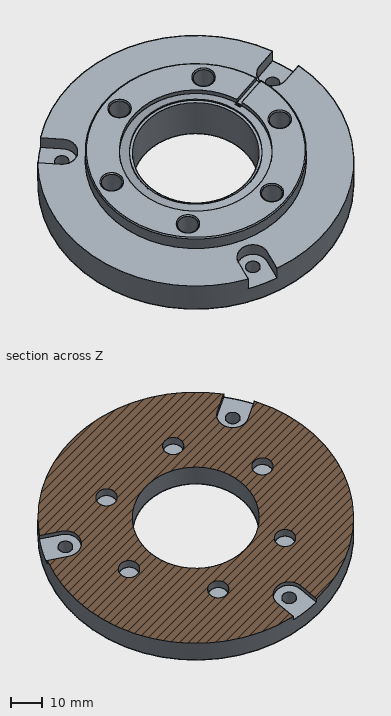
import cadquery as cq

base_diameter = 100.0
base_height = 12.0
flange_diameter = 70.0
flange_height = 5.3
flange_chamfer = 0.4
total_height = base_height + flange_height

bore_diameter = 40.0
recess_diameter = 48.3
knife_diameter = 41.9
recess_depth = 1.8
knife_depth = 0.6
inner_ledge_depth = 1.2

bolt_count = 6
bolt_circle_diameter = 58.7
bolt_hole_diameter = 6.6
bolt_hole_depth = 12.0
bolt_chamfer = 0.4

mount_count = 3
mount_radius = 42.5
mount_hole_diameter = 4.6
pocket_width = 10.0
pocket_depth = 5.0

groove_width = 1.9
groove_depth = 1.6
groove_angle = 120.0


def make_body():
    """Revolve the stepped disc together with its bore and knife edge."""
    base_radius = base_diameter / 2
    flange_radius = flange_diameter / 2
    bore_radius = bore_diameter / 2
    knife_radius = knife_diameter / 2
    recess_radius = recess_diameter / 2
    profile = [
        (bore_radius, 0),
        (base_radius, 0),
        (base_radius, base_height),
        (flange_radius, base_height),
        (flange_radius, total_height - flange_chamfer),
        (flange_radius - flange_chamfer, total_height),
        (recess_radius, total_height),
        (recess_radius, total_height - recess_depth),
        (knife_radius, total_height - knife_depth),
        (knife_radius, total_height - inner_ledge_depth),
        (bore_radius, total_height - inner_ledge_depth),
    ]
    return cq.Workplane("XZ").polyline(profile).close().revolve(360, (0, 0), (0, 1))


def make_bolt_holes():
    """Blind holes with a small chamfer at the mouth."""
    hole_radius = bolt_hole_diameter / 2
    mouth_radius = hole_radius + bolt_chamfer
    half_profile = [
        (0, -bolt_hole_depth),
        (hole_radius, -bolt_hole_depth),
        (hole_radius, -bolt_chamfer),
        (mouth_radius, 0),
        (0, 0),
    ]
    hole = cq.Workplane("XZ").polyline(half_profile).close().revolve(360, (0, 0), (0, 1)).val()
    return (
        cq.Workplane("XY", origin=(0, 0, total_height))
        .polarArray(bolt_circle_diameter / 2, 90, 360, bolt_count)
        .eachpoint(lambda place: hole.moved(place))
    )


def make_mount_cut():
    """Round-ended pocket running out through the rim, with a through hole."""
    pocket_floor = base_height - pocket_depth
    run_out = base_diameter / 2 - mount_radius + pocket_width
    floor_plane = cq.Workplane("XY", origin=(mount_radius, 0, pocket_floor))
    pocket_end = floor_plane.circle(pocket_width / 2).extrude(pocket_depth)
    channel = floor_plane.box(run_out, pocket_width, pocket_depth, centered=(False, True, False))
    hole = cq.Workplane("XY").center(mount_radius, 0).circle(mount_hole_diameter / 2).extrude(base_height)
    return pocket_end.union(channel).union(hole)


def make_groove():
    """Shallow radial groove from the seal recess to the flange rim."""
    return (
        cq.Workplane("XY", origin=(0, 0, total_height - groove_depth))
        .transformed(rotate=(0, 0, groove_angle))
        .center(recess_diameter / 2 - groove_width / 2, 0)
        .box(flange_diameter / 2, groove_width, groove_depth, centered=(False, True, False))
    )


result = make_body().cut(make_bolt_holes()).cut(make_groove())
mount_cut = make_mount_cut()
for index in range(mount_count):
    angle = index * 360 / mount_count
    result = result.cut(mount_cut.rotate((0, 0, 0), (0, 0, 1), angle))